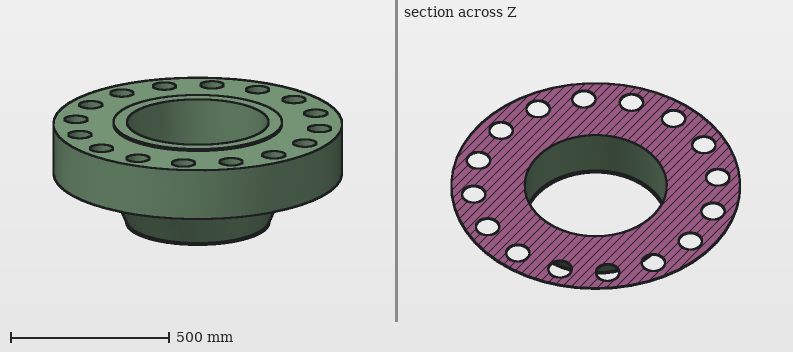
import cadquery as cq

flange_diameter = 914.0
flange_thickness = 163.0
raised_face_diameter = 534.0
raised_face_height = 6.0
bore_diameter = 448.0

total_height = 334.0
neck_length = total_height - flange_thickness - raised_face_height
neck_base_diameter = 589.0
neck_end_diameter = 453.5
neck_end_straight = 6.0
root_fillet = 18.0

bolt_count = 16
bolt_circle_diameter = 775.0
bolt_hole_diameter = 73.0


def make_body():
    """Revolve the half section of disc, raised face and neck about Z."""
    flange_top = flange_thickness
    face_top = flange_top + raised_face_height
    return (
        cq.Workplane("XZ")
        .moveTo(bore_diameter / 2, face_top)
        .lineTo(raised_face_diameter / 2, face_top)
        .lineTo(raised_face_diameter / 2, flange_top)
        .lineTo(flange_diameter / 2, flange_top)
        .lineTo(flange_diameter / 2, 0)
        .lineTo(neck_base_diameter / 2, 0)
        .lineTo(neck_end_diameter / 2, neck_end_straight - neck_length)
        .lineTo(neck_end_diameter / 2, -neck_length)
        .lineTo(bore_diameter / 2, -neck_length)
        .close()
        .revolve(360, (0, 0, 0), (0, 1, 0))
    )


def round_neck_root(body):
    """Fillet the corner between the neck and the underside of the disc."""
    margin = 1.0
    reach = neck_base_diameter / 2 + margin
    around_root = cq.selectors.BoxSelector(
        (-reach, -reach, -margin),
        (reach, reach, margin),
        boundingbox=True,
    )
    return body.edges(around_root).fillet(root_fillet)


def make_bolt_holes():
    """Ring of through-hole cutters, the first one on the X axis."""
    return (
        cq.Workplane("XY")
        .polarArray(bolt_circle_diameter / 2, 0, 360, bolt_count)
        .circle(bolt_hole_diameter / 2)
        .extrude(flange_thickness)
    )


result = round_neck_root(make_body()).cut(make_bolt_holes())